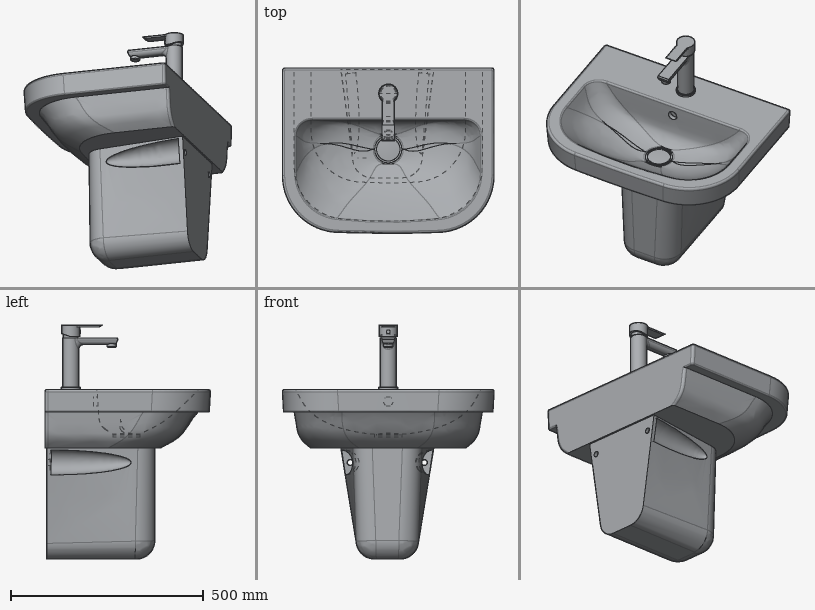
import cadquery as cq
import math

TOTAL_HEIGHT = 607
BASIN_WIDTH = 550.0
BASIN_DEPTH = 430.0
DECK_Z = 441.0
SHROUD_TOP_Z = 288.0

RIM_BOTTOM_Z = 381.5
RIM_DRAFT = 3.0
RIM_BACK_RADIUS = 7.0
RIM_FRONT_RADIUS = 149.0
RIM_TOP_FILLET = 6
RIM_BOTTOM_FILLET = 3.5
CROWN_RADIUS = 3643.5
BOWL_CROWN_RADIUS = 1214.5
LIP_RADIUS = 5.0

SHELL_SECTIONS = [
    (RIM_BOTTOM_Z + RIM_BOTTOM_FILLET, 246.0, 403.0, 139.5),
    (363.0, 240.5, 382.5, 133.5),
    (325.0, 233.0, 356.5, 133.5),
    (305.5, 221.0, 331.5, 133.5),
    (SHROUD_TOP_Z, 200.5, 299.0, 133.5),
]

DRAIN_Y = -211.5
DRAIN_FLOOR_Z = 324.0
DRAIN_SEAT_DEPTH = 7.0
DRAIN_CUT_HEIGHT = 18
DRAIN_RADIUS = 35.0
PLUG_CAP_RADIUS = 30.5
PLUG_CAP_HEIGHT = 2.5
PLUG_DOME_HEIGHT = 2.5
PLUG_FLANGE_THICKNESS = 5.5
OVERFLOW_RADIUS = 12
OVERFLOW_Z = 409.0
OVERFLOW_DEPTH = 9.0
OVERFLOW_CUT_LENGTH = 18

CAVITY_BACK = 135.5
CAVITY_SECTIONS = [
    (DECK_Z, 240.5, CAVITY_BACK, 399.0, 40.5, 118.5),
    (422.0, 231, 136.5, 381.5, 45.5, 121.5),
    (391.0, 211.0, 138.5, 349.0, 54.5, 121.5),
    (358, 168.0, 141.5, 310, 54.5, 109.5),
    (336.0, 109.5, 158, 270.0, 48.5, 73),
    (DRAIN_FLOOR_Z, 39.0, 172.5, 250.0, 37.5, 38.0),
]

SHROUD_X = -2.5
SHROUD_BACK_Y = -4.0
SHROUD_FRONT_Y = -285.5
SHROUD_BACK_HALF_TOP = 121.0
SHROUD_BACK_HALF_BOTTOM = 74.0
SHROUD_FRONT_HALF = 84.0
SHROUD_FRONT_HALF_BOTTOM = 80.0
SHROUD_CORNER_RADIUS = 51.0
SHROUD_BOTTOM_RADIUS = 48.5

TAB_THICKNESS = 12
RECESS_Z = 251.0
RECESS_RADIUS = 33.0
RECESS_BACK_X = 114.0
RECESS_TIP_X = 89.0
RECESS_TIP_Y = -223.5
SCREW_HOLE_RADIUS = 7.0
SCREW_HOLE_X = 96.5

TAP_Y = -67
BASE_RING_RADIUS = 25.0
BASE_RING_HEIGHT = 6
BASE_RING_CHAMFER = 1.0
COLUMN_RADIUS = 21.0
SPOUT_TOP_Z = 574.5
NECK_RADIUS = 19.5
LEVER_BOTTOM_Z = 577.5
LEVER_REAR_RISE = 8.0
SPOUT_TIP_Y = -191.0
SPOUT_HALF_WIDTH = 16.0
SPOUT_HEIGHT = 17.5
SPOUT_TIP_RAKE = 7.0
SPOUT_TIP_CHAMFER = 4.0
SPOUT_BOTTOM_FILLET = 12
SPOUT_ROOT_RADIUS = 12
AERATOR_Y = -173.0
AERATOR_RADIUS = 12
AERATOR_DROP = 7.0
AERATOR_CHAMFER = 2.5
AERATOR_EMBED = 6
LEVER_RADIUS = 23.5
BLADE_TIP_Y = -149.0
BLADE_HALF_WIDTH = 14.5
BLADE_THICKNESS = 5.0
BLADE_TIP_RAKE = 8.0
BLADE_ROOT_FILLET = 9.0
BUTTON_RADIUS = 5.0
BUTTON_Z = 590.0
BUTTON_PROJECTION = 2.0

PICK_MARGIN = 0.5


def d_outline(z, half_width, back, front, back_radius, front_radius, crown_radius):
    """Wire at height z: straight back and sides, rounded corners, tangent bulged front edge."""
    corner_x = half_width - front_radius
    crown_centre_y = -front + crown_radius
    reach = crown_radius - front_radius
    corner_y = crown_centre_y - math.sqrt(reach ** 2 - corner_x ** 2)
    tangent_x = corner_x * crown_radius / reach
    tangent_y = crown_centre_y + (corner_y - crown_centre_y) * crown_radius / reach
    mid_angle = math.atan2(tangent_y - corner_y, tangent_x - corner_x) / 2
    mid_x = corner_x + front_radius * math.cos(mid_angle)
    mid_y = corner_y + front_radius * math.sin(mid_angle)
    back_inset = back_radius * (1 - math.sqrt(0.5))
    outline = (
        cq.Workplane("XY", origin=(0, 0, z))
        .moveTo(-half_width, corner_y)
        .threePointArc((-mid_x, mid_y), (-tangent_x, tangent_y))
        .threePointArc((0, -front), (tangent_x, tangent_y))
        .threePointArc((mid_x, mid_y), (half_width, corner_y))
        .lineTo(half_width, -back - back_radius)
        .threePointArc(
            (half_width - back_inset, -back - back_inset),
            (half_width - back_radius, -back),
        )
        .lineTo(back_radius - half_width, -back)
        .threePointArc(
            (back_inset - half_width, -back - back_inset),
            (-half_width, -back - back_radius),
        )
        .close()
    )
    return outline.val()


def disc(radius, y, bottom, height):
    return cq.Workplane("XY", origin=(0, y, bottom)).circle(radius).extrude(height)


def make_rim():
    half_width = BASIN_WIDTH / 2
    overrun = RIM_DRAFT * RIM_TOP_FILLET / (DECK_Z - RIM_BOTTOM_Z)
    lower = d_outline(RIM_BOTTOM_Z, half_width - RIM_DRAFT, 0, BASIN_DEPTH - RIM_DRAFT,
                      RIM_BACK_RADIUS, RIM_FRONT_RADIUS, CROWN_RADIUS)
    upper = d_outline(DECK_Z, half_width + overrun, 0, BASIN_DEPTH + overrun,
                      RIM_BACK_RADIUS, RIM_FRONT_RADIUS, CROWN_RADIUS)
    rim = cq.Workplane(obj=cq.Solid.makeLoft([lower, upper], True))
    rim = rim.faces(">Z").edges().fillet(RIM_TOP_FILLET)
    return rim.faces("<Z").edges().fillet(RIM_BOTTOM_FILLET)


def make_shell():
    wires = [
        d_outline(z, half_width, 0, front, RIM_BACK_RADIUS, radius, BOWL_CROWN_RADIUS)
        for z, half_width, front, radius in SHELL_SECTIONS
    ]
    return cq.Workplane(obj=cq.Solid.makeLoft(wires))


def make_cavity():
    wires = [d_outline(*section, BOWL_CROWN_RADIUS) for section in CAVITY_SECTIONS]
    return cq.Workplane(obj=cq.Solid.makeLoft(wires))


def make_basin():
    cavity = make_cavity()
    rim = make_rim().cut(cavity)
    lip = rim.faces(">Z").val().innerWires()[0].Edges()
    rim = cq.Workplane(obj=rim.val().fillet(LIP_RADIUS, lip))
    basin = rim.union(make_shell().cut(cavity))

    seat_z = DRAIN_FLOOR_Z - DRAIN_SEAT_DEPTH
    seat = disc(DRAIN_RADIUS, DRAIN_Y, seat_z, DRAIN_CUT_HEIGHT)
    basin = basin.cut(seat)

    overflow = (
        cq.Workplane("XZ", origin=(0, OVERFLOW_DEPTH - CAVITY_BACK, OVERFLOW_Z))
        .circle(OVERFLOW_RADIUS)
        .extrude(OVERFLOW_CUT_LENGTH)
    )
    return basin.cut(overflow)


def make_drain_plug():
    """Flange filling the drain seat, with a low domed cap on top."""
    flange_z = DRAIN_FLOOR_Z - DRAIN_SEAT_DEPTH
    cap_z = flange_z + PLUG_FLANGE_THICKNESS
    edge_z = cap_z + PLUG_CAP_HEIGHT
    top_z = edge_z + PLUG_DOME_HEIGHT
    dome_radius = (PLUG_CAP_RADIUS ** 2 + PLUG_DOME_HEIGHT ** 2) / (2 * PLUG_DOME_HEIGHT)
    mid_x = PLUG_CAP_RADIUS / 2
    mid_z = top_z - dome_radius + math.sqrt(dome_radius ** 2 - mid_x ** 2)
    return (
        cq.Workplane("XZ", origin=(0, DRAIN_Y, 0))
        .moveTo(0, flange_z)
        .lineTo(DRAIN_RADIUS, flange_z)
        .lineTo(DRAIN_RADIUS, cap_z)
        .lineTo(PLUG_CAP_RADIUS, cap_z)
        .lineTo(PLUG_CAP_RADIUS, edge_z)
        .threePointArc((mid_x, mid_z), (0, top_z))
        .close()
        .revolve(360, (0, 0), (0, 1))
    )


def trapezoid(z, back_half, front_half):
    corners = [
        (-back_half, SHROUD_BACK_Y),
        (-front_half, SHROUD_FRONT_Y),
        (front_half, SHROUD_FRONT_Y),
        (back_half, SHROUD_BACK_Y),
    ]
    return cq.Workplane("XY", origin=(0, 0, z)).polyline(corners).close().val()


def flank_recess(side):
    """Half ellipsoid whose axis runs from the screw tab forward along the flank."""
    start = cq.Vector(side * RECESS_BACK_X, SHROUD_BACK_Y - TAB_THICKNESS, RECESS_Z)
    tip = cq.Vector(side * RECESS_TIP_X, RECESS_TIP_Y, RECESS_Z)
    axis = tip - start
    length = axis.Length
    plane = cq.Plane(origin=start, xDir=axis, normal=axis.cross(cq.Vector(0, 0, 1)))
    return (
        cq.Workplane(plane)
        .lineTo(length, 0)
        .ellipseArc(length, RECESS_RADIUS, 0, 90, startAtCurrent=True)
        .close()
        .revolve(360, (0, 0), (1, 0))
    )


def make_shroud():
    lower = trapezoid(0, SHROUD_BACK_HALF_BOTTOM, SHROUD_FRONT_HALF_BOTTOM)
    upper = trapezoid(SHROUD_TOP_Z, SHROUD_BACK_HALF_TOP, SHROUD_FRONT_HALF)
    shroud = cq.Workplane(obj=cq.Solid.makeLoft([lower, upper], True))
    mid_z = SHROUD_TOP_Z / 2
    front_corners = cq.selectors.BoxSelector(
        (-SHROUD_BACK_HALF_TOP, SHROUD_FRONT_Y - 6, mid_z - 6),
        (SHROUD_BACK_HALF_TOP, SHROUD_FRONT_Y + 6, mid_z + 6),
    )
    shroud = shroud.edges(front_corners).fillet(SHROUD_CORNER_RADIUS)
    bottom_edges = shroud.faces("<Z").edges("not(>Y)")
    shroud = bottom_edges.fillet(SHROUD_BOTTOM_RADIUS)
    for side in (-1, 1):
        screw_hole = (
            cq.Workplane("XZ", origin=(side * SCREW_HOLE_X, 0, RECESS_Z))
            .circle(SCREW_HOLE_RADIUS)
            .extrude(TAB_THICKNESS * 2)
        )
        shroud = shroud.cut(flank_recess(side)).cut(screw_hole)
    return shroud.translate((SHROUD_X, 0, 0))


def make_base_ring():
    ring = disc(BASE_RING_RADIUS, TAP_Y, DECK_Z, BASE_RING_HEIGHT)
    return ring.faces(">Z").edges().chamfer(BASE_RING_CHAMFER)


def make_spout():
    """Flat-topped arm with a raked, chamfered tip and rounded lower edges."""
    underside_z = SPOUT_TOP_Z - SPOUT_HEIGHT
    arm = (
        cq.Workplane("YZ", origin=(-SPOUT_HALF_WIDTH, 0, 0))
        .moveTo(TAP_Y, SPOUT_TOP_Z)
        .lineTo(SPOUT_TIP_Y, SPOUT_TOP_Z)
        .lineTo(SPOUT_TIP_Y + SPOUT_TIP_RAKE, underside_z)
        .lineTo(TAP_Y, underside_z)
        .close()
        .extrude(2 * SPOUT_HALF_WIDTH)
    )
    arm = arm.faces("<Y").edges("not #X").chamfer(SPOUT_TIP_CHAMFER)
    return arm.faces("<Z").edges("|Y").fillet(SPOUT_BOTTOM_FILLET)


def lever_underside():
    """Block above the lever's lower surface: level at the front, rising towards the wall."""
    return (
        cq.Workplane("YZ", origin=(-2 * LEVER_RADIUS, 0, 0))
        .moveTo(TAP_Y - 2 * LEVER_RADIUS, LEVER_BOTTOM_Z)
        .lineTo(TAP_Y, LEVER_BOTTOM_Z)
        .lineTo(TAP_Y + LEVER_RADIUS, LEVER_BOTTOM_Z + LEVER_REAR_RISE)
        .lineTo(TAP_Y + LEVER_RADIUS, TOTAL_HEIGHT)
        .lineTo(TAP_Y - 2 * LEVER_RADIUS, TOTAL_HEIGHT)
        .close()
        .extrude(4 * LEVER_RADIUS)
    )


def make_tap_body():
    column_z = DECK_Z + BASE_RING_HEIGHT
    column = disc(COLUMN_RADIUS, TAP_Y, column_z, SPOUT_TOP_Z - column_z)
    body = column.union(make_spout())
    root_edges = cq.selectors.BoxSelector(
        (-SPOUT_HALF_WIDTH - PICK_MARGIN, TAP_Y - COLUMN_RADIUS - PICK_MARGIN, column_z + 6),
        (SPOUT_HALF_WIDTH + PICK_MARGIN, TAP_Y - NECK_RADIUS / 2, SPOUT_TOP_Z - PICK_MARGIN),
    )
    body = body.edges(root_edges).fillet(SPOUT_ROOT_RADIUS)

    neck = disc(NECK_RADIUS, TAP_Y, SPOUT_TOP_Z, LEVER_BOTTOM_Z + LEVER_REAR_RISE - SPOUT_TOP_Z)
    neck = neck.cut(lever_underside())
    aerator_z = SPOUT_TOP_Z - SPOUT_HEIGHT - AERATOR_DROP
    aerator = disc(AERATOR_RADIUS, AERATOR_Y, aerator_z, AERATOR_DROP + AERATOR_EMBED)
    aerator = aerator.faces("<Z").edges().chamfer(AERATOR_CHAMFER)
    return body.union(neck).union(aerator)


def make_lever():
    """Round hub with a thin blade reaching forward and a small round button in front."""
    hub = disc(LEVER_RADIUS, TAP_Y, LEVER_BOTTOM_Z, TOTAL_HEIGHT - LEVER_BOTTOM_Z)
    hub = hub.intersect(lever_underside())
    blade_z = TOTAL_HEIGHT - BLADE_THICKNESS
    blade = (
        cq.Workplane("YZ", origin=(-BLADE_HALF_WIDTH, 0, 0))
        .moveTo(TAP_Y, TOTAL_HEIGHT)
        .lineTo(BLADE_TIP_Y, TOTAL_HEIGHT)
        .lineTo(BLADE_TIP_Y + BLADE_TIP_RAKE, blade_z)
        .lineTo(TAP_Y, blade_z)
        .close()
        .extrude(2 * BLADE_HALF_WIDTH)
    )
    lever = hub.union(blade)

    hub_reach = math.sqrt(LEVER_RADIUS ** 2 - BLADE_HALF_WIDTH ** 2)
    roots = cq.selectors.BoxSelector(
        (-LEVER_RADIUS, TAP_Y - hub_reach - PICK_MARGIN, blade_z + PICK_MARGIN),
        (LEVER_RADIUS, TAP_Y - hub_reach + PICK_MARGIN, TOTAL_HEIGHT - PICK_MARGIN),
    )
    lever = lever.edges(roots).fillet(BLADE_ROOT_FILLET)

    button = (
        cq.Workplane("XZ", origin=(0, TAP_Y, BUTTON_Z))
        .circle(BUTTON_RADIUS)
        .extrude(LEVER_RADIUS + BUTTON_PROJECTION)
    )
    return lever.union(button)


basin = make_basin()
drain_plug = make_drain_plug()
shroud = make_shroud()
base_ring = make_base_ring()
tap_body = make_tap_body()
lever = make_lever()

bodies = [basin, drain_plug, shroud, base_ring, tap_body, lever]
result = cq.Compound.makeCompound([body.solids().val() for body in bodies])